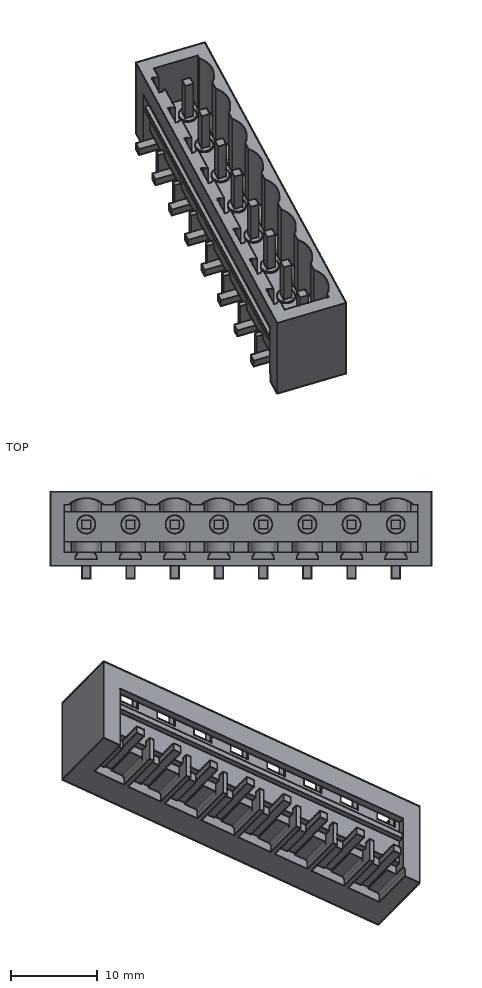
import cadquery as cq
import math


CONTACT_COUNT = 8
PITCH = 5.1
contact_xs = [(i - (CONTACT_COUNT - 1) / 2) * PITCH for i in range(CONTACT_COUNT)]
rib_xs = [x + PITCH / 2 for x in contact_xs[:-1]]

LENGTH = 43.85
DEPTH = 8.55
HEIGHT = 12.0

WIRE = 1.0
PIN_TOP_Z = 10.95
PIN_Y = 4.8
LEAD_REACH = 1.45
LEAD_Z = 1.55
pin_back_y = PIN_Y + WIRE / 2
lead_top_z = LEAD_Z + WIRE

CAVITY_LENGTH = 40.6
CAVITY_FRONT_Y = 1.6
CAVITY_BACK_Y = 7.0
CAVITY_FLOOR_Z = 2.7
LOBE_RADIUS = 3.02

BAR_FRONT_Y = 2.8
BAR_BACK_Y = 6.23
BAR_TOP_Z = 5.25
COLLAR_DIAMETER = 2.1
COLLAR_HEIGHT = 0.2

HUMP_RADIUS = 1.6
HUMP_FLANK_ANGLE = math.radians(57.5)
HUMP_HALF_WIDTH = 1.7

GROOVE_MOUTH_WIDTH = 1.85
GROOVE_WIDTH = 2.45
GROOVE_FLARE_DEPTH = 0.5
GROOVE_FLOOR_Z = 7.9

WINDOW_LENGTH = 39.25
WINDOW_TOP_Z = 8.9
WINDOW_DEPTH = 0.8
RIDGE_BOTTOM_Z = 5.95
RIDGE_TOP_Z = 6.75
RIDGE_HEIGHT = 0.55

UNDERCUT_DEPTH = 1.5
RIB_WIDTH = 0.55
RIB_TOP_Z = 3.3
POCKET_HEIGHT = 1.3
POCKET_FILLET = 0.35
POCKET_ROW_RIGHT_X = 19.85
pocket_width = PITCH - RIB_WIDTH


def box(length, y0, y1, z0, z1, x=0.0):
    """Box centred on x, between two Y planes and two Z planes."""
    return cq.Workplane("XY").box(length, y1 - y0, z1 - z0, centered=(True, False, False)).translate((x, y0, z0))


def cavity():
    """Rectangular well with a round lobe for each contact along its back wall."""
    well = box(CAVITY_LENGTH, CAVITY_FRONT_Y, CAVITY_BACK_Y, CAVITY_FLOOR_Z, HEIGHT)
    well_height = HEIGHT - CAVITY_FLOOR_Z
    for x in contact_xs:
        lobe = cq.Workplane("XY", origin=(x, PIN_Y, CAVITY_FLOOR_Z)).circle(LOBE_RADIUS).extrude(well_height)
        behind_well = box(2 * LOBE_RADIUS, CAVITY_BACK_Y, DEPTH, CAVITY_FLOOR_Z, HEIGHT, x)
        well = well.union(lobe.intersect(behind_well))
    return well


def hump(x):
    """Hump on the cavity floor, running from the front wall to the back wall."""
    crown_half = HUMP_RADIUS * math.sin(HUMP_FLANK_ANGLE)
    flank_height = (HUMP_HALF_WIDTH - crown_half) * math.tan(HUMP_FLANK_ANGLE)
    crown_top = flank_height + HUMP_RADIUS * (1 - math.cos(HUMP_FLANK_ANGLE))
    return (
        cq.Workplane("XZ", origin=(x, CAVITY_FRONT_Y, CAVITY_FLOOR_Z))
        .moveTo(-HUMP_HALF_WIDTH, 0)
        .lineTo(-crown_half, flank_height)
        .threePointArc((0, crown_top), (crown_half, flank_height))
        .lineTo(HUMP_HALF_WIDTH, 0)
        .close()
        .extrude(-(LOBE_RADIUS + PIN_Y - CAVITY_FRONT_Y))
    )


def collar(x):
    """Low round collar on the bar about one pin."""
    return (
        cq.Workplane("XY", origin=(x, PIN_Y, BAR_TOP_Z))
        .circle(COLLAR_DIAMETER / 2)
        .extrude(COLLAR_HEIGHT)
    )


def dovetail_groove(x):
    """Groove in the rim that widens from the cavity towards the front."""
    flare_y = CAVITY_FRONT_Y - GROOVE_FLARE_DEPTH
    half_mouth = GROOVE_MOUTH_WIDTH / 2
    half_width = GROOVE_WIDTH / 2
    outline = [
        (-half_mouth, CAVITY_FRONT_Y),
        (-half_width, flare_y),
        (-half_width, WINDOW_DEPTH),
        (half_width, WINDOW_DEPTH),
        (half_width, flare_y),
        (half_mouth, CAVITY_FRONT_Y),
    ]
    return (
        cq.Workplane("XY", origin=(x, 0, GROOVE_FLOOR_Z))
        .polyline(outline)
        .close()
        .extrude(HEIGHT - GROOVE_FLOOR_Z)
    )


def pocket(x):
    """Pocket below one lead, open at the front, with rounded upper corners.

    The row stops at the left jamb of the window but runs a little way into the right one.
    """
    left = max(x - pocket_width / 2, -WINDOW_LENGTH / 2)
    right = min(x + pocket_width / 2, POCKET_ROW_RIGHT_X)
    return (
        box(right - left, 0, pin_back_y, 0, POCKET_HEIGHT, (left + right) / 2)
        .edges("|Y and >Z")
        .fillet(POCKET_FILLET)
    )


def lead_slot(x):
    """Slot that lets one lead in from below, as wide as the wire."""
    return box(WIRE, 0, pin_back_y, 0, lead_top_z, x)


def make_pin(x):
    """L-shaped pin: a lead out through the front and a post up into the cavity."""
    lead = box(WIRE, -LEAD_REACH, pin_back_y, LEAD_Z, lead_top_z, x)
    post = box(WIRE, PIN_Y - WIRE / 2, pin_back_y, LEAD_Z, PIN_TOP_Z, x)
    return lead.union(post)


def make_housing():
    body = box(LENGTH, 0, DEPTH, 0, HEIGHT)

    body = body.cut(cavity())
    body = body.union(box(CAVITY_LENGTH, BAR_FRONT_Y, BAR_BACK_Y, CAVITY_FLOOR_Z, BAR_TOP_Z))
    for x in contact_xs:
        body = body.union(hump(x)).union(collar(x)).cut(dovetail_groove(x))

    body = body.cut(box(WINDOW_LENGTH, 0, WINDOW_DEPTH, 0, WINDOW_TOP_Z))
    body = body.cut(box(WINDOW_LENGTH, 0, UNDERCUT_DEPTH, 0, lead_top_z))
    body = body.union(box(WINDOW_LENGTH, WINDOW_DEPTH - RIDGE_HEIGHT, WINDOW_DEPTH, RIDGE_BOTTOM_Z, RIDGE_TOP_Z))

    for x in contact_xs:
        body = body.cut(pocket(x))
    for x in rib_xs:
        body = body.union(box(RIB_WIDTH, 0, UNDERCUT_DEPTH, 0, RIB_TOP_Z, x))
    for x in contact_xs:
        body = body.cut(lead_slot(x))
        body = body.cut(make_pin(x))
    return body


housing = make_housing()
pins = [make_pin(x) for x in contact_xs]
result = cq.Compound.makeCompound([housing.val(), *[pin.val() for pin in pins]])